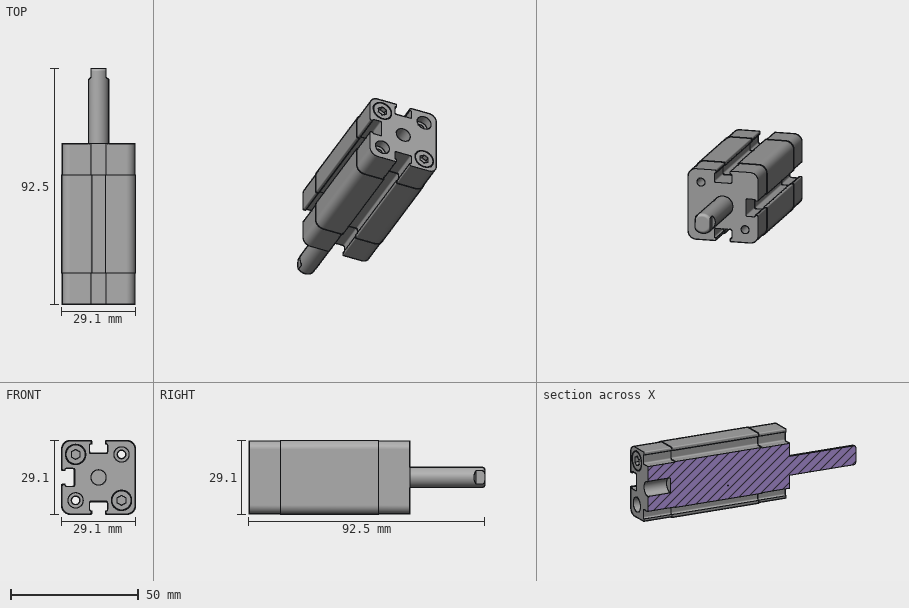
import cadquery as cq

TOTAL_LENGTH = 92.5
HOUSING_LENGTH = 63.0
CAP_LENGTH = 12.25
TUBE_LENGTH = HOUSING_LENGTH - 2 * CAP_LENGTH

TUBE_WIDTH = 29.05
CAP_SETBACK = 0.225
CAP_WIDTH = TUBE_WIDTH - 2 * CAP_SETBACK
TUBE_CORNER_RADIUS = 3.5
CAP_CORNER_RADIUS = TUBE_CORNER_RADIUS - CAP_SETBACK

TUBE_SLOT_WIDTH = 7.0
CAP_SLOT_WIDTH = 7.1
TUBE_SLOT_OPENING = 5.3
CAP_SLOT_OPENING = TUBE_SLOT_OPENING + 2 * CAP_SETBACK
TUBE_SLOT_FLOOR = 9.55
CAP_SLOT_FLOOR = TUBE_SLOT_FLOOR - CAP_SETBACK
LIP_UNDERSIDE = 13.15
LIP_RADIUS = 0.5
SLOT_CORNER_RADIUS = 0.6
SLOT_ANGLES = (0, 90, 180)

BOLT_OFFSET = 9.0
MOUNTING_CORNERS = ((1, 1), (-1, -1))
SCREW_CORNERS = ((-1, 1), (1, -1))
THROUGH_HOLE_DIAMETER = 3.24
MOUNTING_BORE_DIAMETER = 6.0
MOUNTING_BORE_DEPTH = 3.7
CENTER_BORE_DIAMETER = 6.0
CENTER_BORE_DEPTH = 10.0
SCREW_RECESS_DIAMETER = 8.0
SCREW_HEAD_DIAMETER = 7.5
SCREW_HEAD_HEIGHT = 4.0
HEX_ACROSS_FLATS = 3.4
HEX_DEPTH = 2.0

ROD_DIAMETER = 8.0
ROD_FLAT_WIDTH = 6.0
ROD_FLAT_LENGTH = 3.5
ROD_FLAT_RAMP_LENGTH = 0.9
ROD_TIP_RADIUS = 1.2


def front_plane(y):
    """Sketch plane at the given Y whose local axes are X and Z; its normal points to -Y."""
    return cq.Workplane("XZ", origin=(0, y, 0))


def cylinder(x, z, diameter, y_start, length):
    """Cylinder that runs from y_start towards +Y."""
    return front_plane(y_start).center(x, z).circle(diameter / 2).extrude(-length)


def slot_cutter(surface, slot, y_start, length):
    """Undercut slot in the top side, whose surface lies at the given Z, between two rounded lips."""
    slot_width, opening, floor = slot
    lip = opening / 2
    mid_height = (floor + LIP_UNDERSIDE) / 2
    undercut = (
        front_plane(y_start)
        .center(0, mid_height)
        .rect(slot_width, LIP_UNDERSIDE - floor)
        .extrude(-length)
        .edges("|Y")
        .fillet(SLOT_CORNER_RADIUS)
    )
    mouth = (
        front_plane(y_start)
        .moveTo(-lip, mid_height)
        .lineTo(-lip, surface - LIP_RADIUS)
        .radiusArc((-lip - LIP_RADIUS, surface), -LIP_RADIUS)
        .lineTo(lip + LIP_RADIUS, surface)
        .radiusArc((lip, surface - LIP_RADIUS), -LIP_RADIUS)
        .lineTo(lip, mid_height)
        .close()
        .extrude(-length)
    )
    return undercut.union(mouth)


def housing_section(width, corner_radius, slot, y_start, length):
    """Square bar with rounded corners and slots in three sides."""
    bar = front_plane(y_start).rect(width, width).extrude(-length).edges("|Y").fillet(corner_radius)
    cutter = slot_cutter(width / 2, slot, y_start, length)
    for angle in SLOT_ANGLES:
        bar = bar.cut(cutter.rotate((0, 0, 0), (0, 1, 0), -angle))
    return bar


def end_cap(y_start):
    """One of the two equal end caps."""
    slot = (CAP_SLOT_WIDTH, CAP_SLOT_OPENING, CAP_SLOT_FLOOR)
    return housing_section(CAP_WIDTH, CAP_CORNER_RADIUS, slot, y_start, CAP_LENGTH)


def tube():
    """Middle length of the housing, between the end caps."""
    slot = (TUBE_SLOT_WIDTH, TUBE_SLOT_OPENING, TUBE_SLOT_FLOOR)
    return housing_section(TUBE_WIDTH, TUBE_CORNER_RADIUS, slot, CAP_LENGTH, TUBE_LENGTH)


def cut_mounting_hole(body, x, z):
    """Through hole with a wider bore at the front face."""
    body = body.cut(cylinder(x, z, THROUGH_HOLE_DIAMETER, 0, HOUSING_LENGTH))
    return body.cut(cylinder(x, z, MOUNTING_BORE_DIAMETER, 0, MOUNTING_BORE_DEPTH))


def cut_screw(body, x, z):
    """Hex socket screw, flush with the front face, with a thin gap around its head."""
    recess = cylinder(x, z, SCREW_RECESS_DIAMETER, 0, SCREW_HEAD_HEIGHT)
    head = cylinder(x, z, SCREW_HEAD_DIAMETER, 0, SCREW_HEAD_HEIGHT)
    socket = (
        front_plane(0)
        .center(x, z)
        .polygon(6, HEX_ACROSS_FLATS, circumscribed=True)
        .extrude(-HEX_DEPTH)
    )
    return body.cut(recess.cut(head)).cut(socket)


def flat_cutter():
    """Material beside the +X wrench flat, ending in a ramp up to the rod surface."""
    flat = ROD_FLAT_WIDTH / 2
    surface = ROD_DIAMETER / 2
    ramp_start = TOTAL_LENGTH - ROD_FLAT_LENGTH
    return (
        cq.Workplane("XY", origin=(0, 0, -surface))
        .moveTo(flat, TOTAL_LENGTH)
        .lineTo(flat, ramp_start)
        .lineTo(surface, ramp_start - ROD_FLAT_RAMP_LENGTH)
        .lineTo(surface, TOTAL_LENGTH)
        .close()
        .extrude(ROD_DIAMETER)
    )


def piston_rod():
    """Round rod with a rounded tip and two opposite wrench flats."""
    rod = cylinder(0, 0, ROD_DIAMETER, HOUSING_LENGTH, TOTAL_LENGTH - HOUSING_LENGTH)
    rod = rod.faces(">Y").edges().fillet(ROD_TIP_RADIUS)
    cutter = flat_cutter()
    return rod.cut(cutter).cut(cutter.mirror("YZ"))


housing = end_cap(0).union(tube()).union(end_cap(HOUSING_LENGTH - CAP_LENGTH))
for x_side, z_side in MOUNTING_CORNERS:
    housing = cut_mounting_hole(housing, x_side * BOLT_OFFSET, z_side * BOLT_OFFSET)
for x_side, z_side in SCREW_CORNERS:
    housing = cut_screw(housing, x_side * BOLT_OFFSET, z_side * BOLT_OFFSET)
housing = housing.cut(cylinder(0, 0, CENTER_BORE_DIAMETER, 0, CENTER_BORE_DEPTH))

result = housing.union(piston_rod())